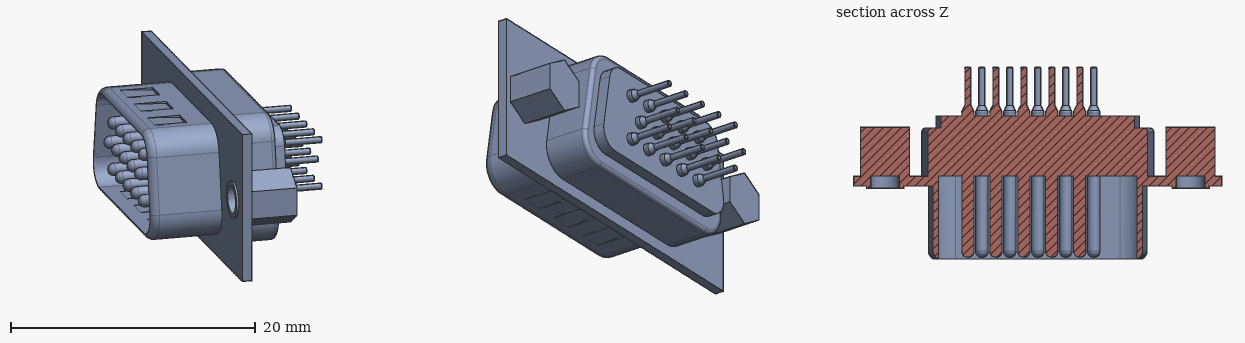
import cadquery as cq
import math


plate_width = 30.1
plate_height = 12.55
plate_thickness = 0.8

side_slope = math.radians(10)
outline_radius = 2.23

shell_length = 6.02
shell_height = 9.15
shell_mid_width = 17.15
shell_wall = 0.48
shell_lip_radius = 0.72
pocket_floor_y = plate_thickness

housing_height = 10.47
housing_mid_width = 18.0
housing_back_y = 4.75
housing_edge_radius = 0.35

insulator_inset = 0.63
insulator_back_y = 5.75

dimple_count = 3
dimple_pitch = 4.03
dimple_width = 2.08
dimple_length = 2.75
dimple_start = 1.9
dimple_depth = 0.18

post_spacing = 24.98
post_centers = [(-post_spacing / 2, 0), (post_spacing / 2, 0)]
post_sides = 6
post_flats = 4.03
post_back_y = 4.82
collar_diameter = 3.07
collar_height = 0.18
post_hole_diameter = 2.32

pins_per_row = 5
pin_pitch = 2.3
row_pitch = 2.0
pin_diameter = 1.02
pin_tip_y = -5.85
shoulder_length = 0.25
shoulder_bevel_length = 0.18
shoulder_bevel_depth = 0.03
taper_length = 0.42
tail_diameter = 0.5
tail_end_y = 9.72
tail_chamfer = 0.05


def plane_at(y):
    """Plane facing -Y, with local x along X and local y along Z."""
    return cq.Workplane("XZ", origin=(0, y, 0))


def d_block(mid_width, height, radius, front_y, back_y):
    """Prism with a rounded trapezoid outline, wider at the bottom."""
    lean = height / 2 * math.tan(side_slope)
    top = mid_width / 2 - lean
    bottom = mid_width / 2 + lean
    corners = [
        (-top, height / 2),
        (top, height / 2),
        (bottom, -height / 2),
        (-bottom, -height / 2),
    ]
    prism = plane_at(back_y).polyline(corners).close().extrude(back_y - front_y)
    return prism.edges("|Y").fillet(radius)


def inset_d_block(inset, front_y, back_y):
    """Prism whose outline lies evenly inside the shell outline."""
    return d_block(
        shell_mid_width - 2 * inset / math.cos(side_slope),
        shell_height - 2 * inset,
        outline_radius - inset,
        front_y,
        back_y,
    )


def dimple_wedges(side, wall_z):
    """Row of wedges on a wall face, growing from nothing at the front to full depth at the back."""
    back_y = -dimple_start
    front_y = back_y - dimple_length
    wedge = (
        cq.Workplane("YZ")
        .polyline([(front_y, wall_z), (back_y, wall_z), (back_y, wall_z - side * dimple_depth)])
        .close()
        .extrude(dimple_width / 2, both=True)
    )
    wedges = cq.Workplane()
    for index in range(dimple_count):
        x = (index - (dimple_count - 1) / 2) * dimple_pitch
        wedges = wedges.union(wedge.translate((x, 0, 0)))
    return wedges


def make_shell():
    shell = d_block(shell_mid_width, shell_height, outline_radius, -shell_length, plate_thickness)
    return shell.faces("<Y").edges().fillet(shell_lip_radius)


def make_housing():
    housing = d_block(housing_mid_width, housing_height, outline_radius, 0, housing_back_y)
    return housing.faces(">Y").edges().fillet(housing_edge_radius)


def add_dimples(body):
    """Sink each wedge into the outside of the wall and raise it on the inside."""
    for side in (1, -1):
        outer_z = side * shell_height / 2
        inner_z = side * (shell_height / 2 - shell_wall)
        body = body.union(dimple_wedges(side, inner_z)).cut(dimple_wedges(side, outer_z))
    return body


def make_posts():
    """Hexagonal posts with corners up and down, each with a thin collar ahead of the plate."""
    corner_radius = post_flats / 2 / math.cos(math.pi / post_sides)
    hexagons = cq.Sketch().push(post_centers).regularPolygon(corner_radius, post_sides, 0)
    posts = plane_at(post_back_y).placeSketch(hexagons).extrude(post_back_y)
    collars = plane_at(0).pushPoints(post_centers).circle(collar_diameter / 2).extrude(collar_height)
    return posts.union(collars)


def make_post_holes():
    """Blind holes that pass through the collars and the plate only."""
    holes = plane_at(plate_thickness).pushPoints(post_centers).circle(post_hole_diameter / 2)
    return holes.extrude(plate_thickness + collar_height)


def make_pin():
    """Round-tipped contact with a tapered shoulder and a thin tail, turned about the Y axis."""
    radius = pin_diameter / 2
    tail_radius = tail_diameter / 2
    shoulder_end = insulator_back_y + shoulder_length
    bevel_end = shoulder_end + shoulder_bevel_length
    profile = (
        cq.Workplane("XY")
        .moveTo(0, pin_tip_y)
        .radiusArc((radius, pin_tip_y + radius), -radius)
        .lineTo(radius, shoulder_end)
        .lineTo(radius - shoulder_bevel_depth, bevel_end)
        .lineTo(tail_radius, bevel_end + taper_length)
        .lineTo(tail_radius, tail_end_y - tail_chamfer)
        .lineTo(tail_radius - tail_chamfer, tail_end_y)
        .lineTo(0, tail_end_y)
        .close()
    )
    return profile.revolve(360, (0, 0), (0, 1))


def pin_positions():
    """The middle row sits half a pitch toward -X."""
    for row in (-1, 0, 1):
        shift = -pin_pitch / 2 if row == 0 else 0
        for column in range(pins_per_row):
            x = (column - (pins_per_row - 1) / 2) * pin_pitch + shift
            yield (x, 0, row * row_pitch)


plate = plane_at(plate_thickness).rect(plate_width, plate_height).extrude(plate_thickness)
insulator = inset_d_block(insulator_inset, pocket_floor_y, insulator_back_y)
pocket = inset_d_block(shell_wall, -shell_length, pocket_floor_y)
body = plate.union(make_shell()).union(make_housing()).union(insulator).cut(pocket)

body = add_dimples(body)
body = body.union(make_posts()).cut(make_post_holes())

pin = make_pin()
for position in pin_positions():
    body = body.union(pin.translate(position))

result = body